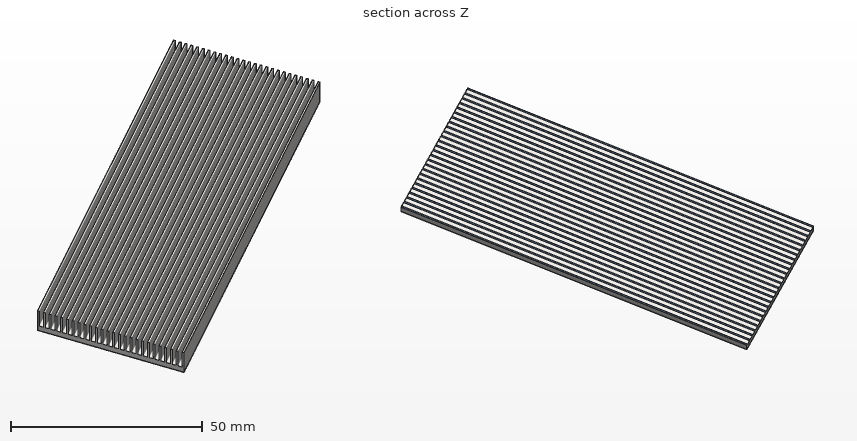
import math
import cadquery as cq

width = 40.89
length = 99.92
height = 7.85

base_thickness = 1.96
fin_count = 26
fin_thickness = 0.55
fin_pitch = (width - fin_thickness) / (fin_count - 1)

gap_width = fin_pitch - fin_thickness
edge_radius = 0.15

arc_middle_inset = edge_radius * (1 - math.sqrt(0.5))


def add_gap(profile, left):
    """Go over the tip of one fin, down into the gap beside it and up to the tip of the next."""
    right = left + gap_width
    tip_shoulder = height - edge_radius
    tip_middle = height - arc_middle_inset
    root_top = base_thickness + edge_radius
    root_middle = base_thickness + arc_middle_inset
    return (
        profile.lineTo(left - edge_radius, height)
        .threePointArc((left - arc_middle_inset, tip_middle), (left, tip_shoulder))
        .lineTo(left, root_top)
        .threePointArc((left + arc_middle_inset, root_middle), (left + edge_radius, base_thickness))
        .lineTo(right - edge_radius, base_thickness)
        .threePointArc((right - arc_middle_inset, root_middle), (right, root_top))
        .lineTo(right, tip_shoulder)
        .threePointArc((right + arc_middle_inset, tip_middle), (right + edge_radius, height))
    )


def comb_profile():
    """Cross-section in XZ; the outermost fins are flush with the base and square outside."""
    left_side = -width / 2
    right_side = width / 2
    profile = cq.Workplane("XZ").moveTo(left_side, 0).lineTo(left_side, height)
    for index in range(fin_count - 1):
        gap_left = left_side + fin_thickness + index * fin_pitch
        profile = add_gap(profile, gap_left)
    return profile.lineTo(right_side, height).lineTo(right_side, 0).close()


result = comb_profile().extrude(length / 2, both=True)